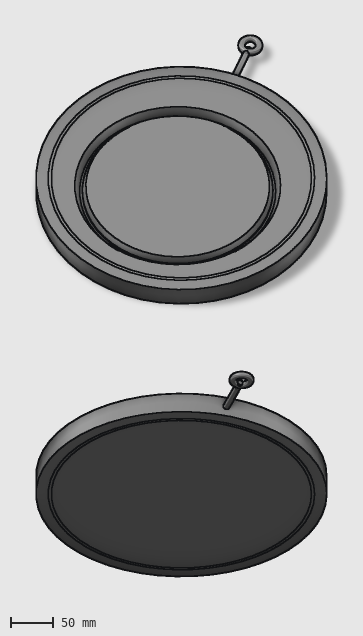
import cadquery as cq
body_diameter = 340.0
total_thickness = 27.5

bead_ring_radius = 153.9
bead_width = 3.7
bead_height = 1.0
body_thickness = total_thickness - 2 * bead_height
top_z = body_thickness / 2

pocket_center_y = -12.5
pocket_top_radius = 120.5
pocket_floor_radius = 114.5
pocket_depth = 10.5

flap_diameter = 223.0
flap_drop = 1.2
flap_chamfer_width = 4.0
flap_chamfer_height = 7.5

overall_length = 412.0
eye_wire_diameter = 8.2
eye_outer_diameter = 29.0
rod_diameter = 8.0
rod_tip_diameter = 6.5
rod_tip_length = 10.5
rod_end_gap = 1.0
rod_embedment = 8.2

body_radius = body_diameter / 2
eye_ring_radius = (eye_outer_diameter - eye_wire_diameter) / 2
eye_center_y = overall_length - body_radius - eye_outer_diameter / 2
pocket_floor_z = top_z - pocket_depth


def make_body():
    """Plain disc with an arc-section bead on both flat faces."""
    inner_radius = bead_ring_radius - bead_width / 2
    outer_radius = bead_ring_radius + bead_width / 2
    crown_z = total_thickness / 2
    section = (
        cq.Workplane("XZ")
        .moveTo(0, -top_z)
        .lineTo(inner_radius, -top_z)
        .threePointArc((bead_ring_radius, -crown_z), (outer_radius, -top_z))
        .lineTo(body_radius, -top_z)
        .lineTo(body_radius, top_z)
        .lineTo(outer_radius, top_z)
        .threePointArc((bead_ring_radius, crown_z), (inner_radius, top_z))
        .lineTo(0, top_z)
        .close()
    )
    return section.revolve(360, (0, 0, 0), (0, 1, 0))


def make_pocket():
    section = (
        cq.Workplane("XZ")
        .polyline([
            (0, pocket_floor_z),
            (pocket_floor_radius, pocket_floor_z),
            (pocket_top_radius, top_z),
            (0, top_z),
        ])
        .close()
    )
    return section.revolve(360, (0, 0, 0), (0, 1, 0)).translate((0, pocket_center_y, 0))


def make_flap():
    flap_radius = flap_diameter / 2
    flap_top_z = top_z - flap_drop
    section = (
        cq.Workplane("XZ")
        .polyline([
            (0, pocket_floor_z),
            (flap_radius, pocket_floor_z),
            (flap_radius, flap_top_z - flap_chamfer_height),
            (flap_radius - flap_chamfer_width, flap_top_z),
            (0, flap_top_z),
        ])
        .close()
    )
    return section.revolve(360, (0, 0, 0), (0, 1, 0)).translate((0, pocket_center_y, 0))


def make_eye_bolt():
    """Rod running out of the rim along +Y, its tapered tip joined to a flat-lying ring."""
    rod_start_y = body_radius - rod_embedment
    rod_end_y = eye_center_y - eye_outer_diameter / 2 - rod_end_gap
    rod_tip_y = rod_end_y + rod_tip_length
    rod = (
        cq.Workplane("XY")
        .polyline([
            (0, rod_start_y),
            (rod_diameter / 2, rod_start_y),
            (rod_diameter / 2, rod_end_y),
            (rod_tip_diameter / 2, rod_tip_y),
            (0, rod_tip_y),
        ])
        .close()
        .revolve(360, (0, 0, 0), (0, 1, 0))
    )
    ring = (
        cq.Workplane("XZ")
        .center(eye_ring_radius, 0)
        .circle(eye_wire_diameter / 2)
        .revolve(360, (-eye_ring_radius, 0, 0), (-eye_ring_radius, 1, 0))
        .translate((0, eye_center_y, 0))
    )
    return rod.union(ring, clean=False)


result = (
    make_body()
    .cut(make_pocket())
    .union(make_flap())
    .union(make_eye_bolt(), clean=False)
)